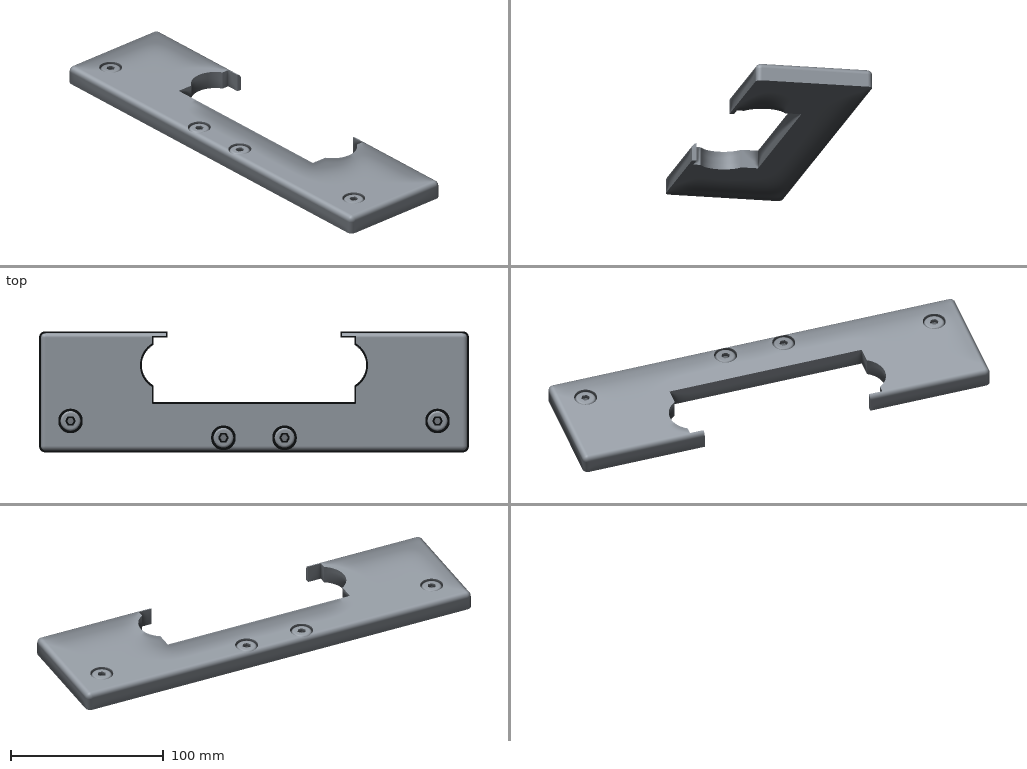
import cadquery as cq
import math


length = 280.0
width = 78.0
thickness = 12.0
edge_radius = 3.5

opening_half_width = 66.2
opening_front_y = -7.15
lip_thickness = 3.0
lip_half_gap = 57.0

notch_radius = 16.0
notch_reach = 73.9
notch_center_y = 17.5

outer_screw_x = 120.0
outer_screw_y = -19.0
inner_screw_x = 20.0
inner_screw_y = -30.0
recess_diameter = 15.0
head_diameter = 14.0
head_height = 4.4
head_edge_radius = 2.0
head_sink = 0.5
socket_across_flats = 5.0
socket_depth = 2.6

rear_y = width / 2
lip_inner_y = rear_y - lip_thickness
notch_center_x = notch_reach - notch_radius
recess_depth = head_height + head_sink
socket_across_corners = socket_across_flats / math.cos(math.pi / 6)


def make_plate():
    """Block with rounded upright corners and a rounded top edge."""
    block = cq.Workplane("XY").box(length, width, thickness, centered=(True, True, False))
    rounded_block = block.edges("|Z").fillet(edge_radius)
    return rounded_block.faces(">Z").edges().fillet(edge_radius)


def make_through_block(half_width, y_min, y_max):
    """Full-height block centred on X, spanning y_min to y_max."""
    return (
        cq.Workplane("XY")
        .center(0, (y_min + y_max) / 2)
        .rect(2 * half_width, y_max - y_min)
        .extrude(thickness)
    )


def make_opening():
    """Rectangular opening, the gap in the rear lip and a round notch at each end."""
    main_opening = make_through_block(opening_half_width, opening_front_y, lip_inner_y)
    lip_gap = make_through_block(lip_half_gap, opening_front_y, rear_y)
    notches = (
        cq.Workplane("XY")
        .pushPoints([(side * notch_center_x, notch_center_y) for side in (-1, 1)])
        .circle(notch_radius)
        .extrude(thickness)
    )
    return main_opening.union(lip_gap).union(notches)


def make_screw_recess():
    """Clearance around one rounded screw head plus its hexagon socket, with its floor at z = 0."""
    head = (
        cq.Workplane("XY")
        .circle(head_diameter / 2)
        .extrude(head_height)
        .faces(">Z")
        .edges()
        .fillet(head_edge_radius)
    )
    socket = (
        cq.Workplane("XY")
        .workplane(offset=head_height - socket_depth)
        .polygon(6, socket_across_corners)
        .extrude(socket_depth)
    )
    clearance = cq.Workplane("XY").circle(recess_diameter / 2).extrude(recess_depth)
    return clearance.cut(head.cut(socket))


result = make_plate().cut(make_opening())

screw_recess = make_screw_recess()
for x, y in [(outer_screw_x, outer_screw_y), (inner_screw_x, inner_screw_y)]:
    for side in (-1, 1):
        result = result.cut(screw_recess.translate((side * x, y, thickness - recess_depth)))